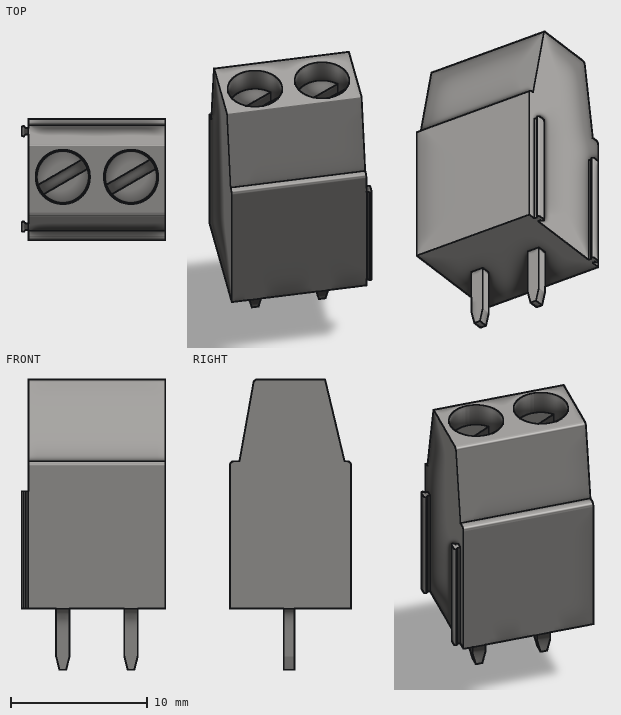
import cadquery as cq
import math


pole_count = 2
pole_pitch = 5.0
housing_length = 10.05
housing_width = 8.9
housing_height = 16.8
shoulder_height = 10.8
front_shoulder_width = 0.7
back_shoulder_width = 0.48
front_top_setback = 1.77
back_top_setback = 1.91
shoulder_radius = 0.3
front_top_radius = 0.3
back_top_radius = 0.1

screw_y = 0.2
well_diameter = 4.0
well_depth = 3.0
well_floor_chamfer = 0.1
well_flat_width = 0.28
screw_diameter = 3.8
screw_depth = 1.7
slot_width = 0.8
slot_depth = 0.9
slot_angle = 30.0

pin_y = -0.1
pin_length = 4.5
pin_width = 1.0
pin_thickness = 0.8
pin_tip_width = 0.5
pin_tip_length = 1.0

rail_height = 8.6
rail_spacing = 7.0
rail_mid_y = 0.05
rail_depth = 0.5
rail_head_width = 0.78
rail_neck_width = 0.5
rail_neck_length = 0.2
rail_corner_radius = 0.15

end_x = -housing_length / 2
front_y = -housing_width / 2
back_y = housing_width / 2
pole_positions = [(i - (pole_count - 1) / 2) * pole_pitch for i in range(pole_count)]


def make_housing():
    """Stepped, tapering profile swept along X, with its long outer edges rounded."""
    front_top_y = front_y + front_top_setback
    back_top_y = back_y - back_top_setback
    profile = [
        (front_y, 0),
        (front_y, shoulder_height),
        (front_y + front_shoulder_width, shoulder_height),
        (front_top_y, housing_height),
        (back_top_y, housing_height),
        (back_y - back_shoulder_width, shoulder_height),
        (back_y, shoulder_height),
        (back_y, 0),
    ]
    housing = (
        cq.Workplane("YZ", origin=(end_x, 0, 0))
        .polyline(profile)
        .close()
        .extrude(housing_length)
    )
    rounded_edges = [
        (front_y, shoulder_height, shoulder_radius),
        (back_y, shoulder_height, shoulder_radius),
        (front_top_y, housing_height, front_top_radius),
        (back_top_y, housing_height, back_top_radius),
    ]
    for y, z, radius in rounded_edges:
        edge = cq.selectors.NearestToPointSelector((0, y, z))
        housing = housing.edges(edge).fillet(radius)
    return housing


def make_screw_well(x):
    """Round well with a narrow flat on its +Y side, less the slotted screw head standing in it."""
    well_radius = well_diameter / 2
    well = (
        cq.Workplane("XY", origin=(x, screw_y, housing_height))
        .circle(well_radius)
        .extrude(-well_depth)
        .faces("<Z")
        .chamfer(well_floor_chamfer)
    )
    flat_distance = math.sqrt(well_radius**2 - (well_flat_width / 2) ** 2)
    beyond_flat = (
        cq.Workplane("XY", origin=(x, screw_y + flat_distance, housing_height))
        .rect(well_diameter, well_diameter)
        .extrude(-well_depth)
        .translate((0, well_radius, 0))
    )
    head_top = cq.Workplane("XY", origin=(x, screw_y, housing_height - screw_depth))
    head = head_top.circle(screw_diameter / 2).extrude(screw_depth - well_depth)
    slot = (
        head_top
        .transformed(rotate=(0, 0, slot_angle))
        .rect(screw_diameter, slot_width)
        .extrude(-slot_depth)
    )
    return well.cut(beyond_flat).cut(head.cut(slot))


def make_pin(x):
    """Flat pin below the housing, narrowing in X towards its tip."""
    half_width = pin_width / 2
    half_tip = pin_tip_width / 2
    tip_start_z = pin_tip_length - pin_length
    outline = [
        (-half_width, 0),
        (-half_width, tip_start_z),
        (-half_tip, -pin_length),
        (half_tip, -pin_length),
        (half_width, tip_start_z),
        (half_width, 0),
    ]
    return (
        cq.Workplane("XZ", origin=(x, pin_y, 0))
        .polyline(outline)
        .close()
        .extrude(pin_thickness / 2, both=True)
    )


def make_rail(y):
    """Upright dovetail-like rail: narrow neck, sloped undersides and a rounded head."""
    half_neck = rail_neck_width / 2
    half_head = rail_head_width / 2
    half_face = half_head - rail_corner_radius
    head_x = rail_corner_radius - rail_depth
    arc_inset = rail_corner_radius * (1 - math.sqrt(0.5))
    arc_mid_x = arc_inset - rail_depth
    arc_mid_y = half_head - arc_inset
    return (
        cq.Workplane("XY", origin=(end_x, y, 0))
        .moveTo(0, -half_neck)
        .lineTo(-rail_neck_length, -half_neck)
        .lineTo(head_x, -half_head)
        .threePointArc((arc_mid_x, -arc_mid_y), (-rail_depth, -half_face))
        .lineTo(-rail_depth, half_face)
        .threePointArc((arc_mid_x, arc_mid_y), (head_x, half_head))
        .lineTo(-rail_neck_length, half_neck)
        .lineTo(0, half_neck)
        .close()
        .extrude(rail_height)
    )


result = make_housing()
for pole_x in pole_positions:
    result = result.cut(make_screw_well(pole_x))
    result = result.union(make_pin(pole_x))
for side in (-1, 1):
    result = result.union(make_rail(rail_mid_y + side * rail_spacing / 2))